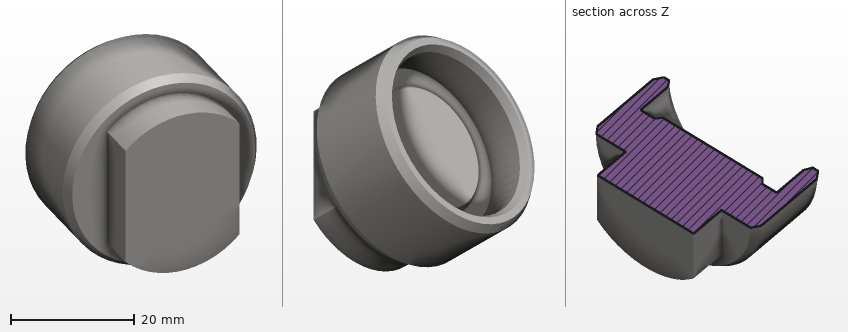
import cadquery as cq

body_diameter = 35.0
body_length = 17.0
body_chamfer_length = 1.5
body_chamfer_depth = 1.0

bore_diameter = 29.0
bore_depth = 8.1
mouth_chamfer_length = 1.35
mouth_chamfer_depth = 0.77

pad_base_diameter = 23.0
pad_top_diameter = 21.4
pad_height = 1.0

total_length = 24.0
boss_diameter = 29.27
boss_across_flats = 20.5


def make_body():
    """Revolve the half profile of the body, including its bore and floor pad."""
    outer_radius = body_diameter / 2
    face_radius = outer_radius - body_chamfer_depth
    bore_radius = bore_diameter / 2
    mouth_radius = bore_radius + mouth_chamfer_depth
    pad_top_x = bore_depth - pad_height
    profile = [
        (pad_top_x, 0),
        (pad_top_x, pad_top_diameter / 2),
        (bore_depth, pad_base_diameter / 2),
        (bore_depth, bore_radius),
        (mouth_chamfer_length, bore_radius),
        (0, mouth_radius),
        (0, face_radius),
        (body_chamfer_length, outer_radius),
        (body_length - body_chamfer_length, outer_radius),
        (body_length, face_radius),
        (body_length, 0),
    ]
    return cq.Workplane("XZ").polyline(profile).close().revolve(360, (0, 0, 0), (1, 0, 0))


def make_boss():
    """Round boss with two flats facing -Y and +Y."""
    boss_length = total_length - body_length
    section = cq.Workplane("YZ").workplane(offset=body_length)
    cylinder = section.circle(boss_diameter / 2).extrude(boss_length)
    flats = section.rect(boss_across_flats, boss_diameter).extrude(boss_length)
    return cylinder.intersect(flats)


result = make_body().union(make_boss())